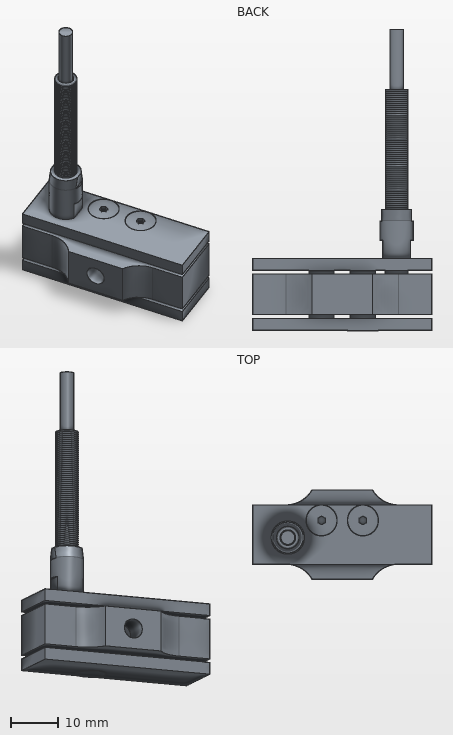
import cadquery as cq
import math


length = 37.95
block_width = 18.92
plate_width = 12.573
plate_thickness = 2.54
block_height = 8.636
gap = 0.762
block_bottom = plate_thickness + gap
block_top = block_bottom + block_height
upper_plate_bottom = block_top + gap
housing_top = upper_plate_bottom + plate_thickness

ear_half_length = 6.40
ear_arc_radius = 6.35
ear_depth = (block_width - plate_width) / 2
ear_arc_run = math.sqrt(ear_arc_radius**2 - (ear_arc_radius - ear_depth) ** 2)

front_hole_diameter = 4.09
front_hole_depth = 6.35

post_diameter = 5.38
post_neck_diameter = 5.33
post_neck_height = 0.127

screw_spacing = 8.76
screw_y = 3.0
screw_xs = (-screw_spacing / 2, screw_spacing / 2)
screw_head_diameter = 6.48
screw_shank_diameter = 2.84
screw_length = 9.525
screw_cone_half_angle = math.radians(41)
screw_recess = 0.06
screw_top = housing_top - screw_recess
countersink_diameter = screw_head_diameter + 2 * screw_recess * math.tan(screw_cone_half_angle)
socket_across_flats = 1.5875
socket_depth = 1.27

pad_diameter = 6.48
pad_height = 0.127

cable_x = -11.52
cable_y = -0.635
stem_diameter = 4.85
sleeve_diameter = 7.06
sleeve_top_diameter = 6.52
sleeve_cylinder_height = 8.0
sleeve_height = 10.373
lower_flat_distance = 2.96
lower_flat_height = 3.81
upper_flat_distance = 3.18
upper_flat_start = 7.85
coil_diameter = 4.8
coil_bore_diameter = 3.3
coil_exposed_length = 25.4
coil_turns = 59
coil_pitch = 0.4318
coil_length = coil_turns * coil_pitch
coil_top = housing_top + sleeve_height + coil_exposed_length
cable_diameter = 2.92
cable_free_length = 12.7


def cylinder(x, y, bottom, height, diameter):
    """Upright cylinder standing at the given height."""
    return cq.Workplane("XY", origin=(x, y, bottom)).circle(diameter / 2).extrude(height)


def plate(bottom):
    """Rectangular cover plate."""
    return cq.Workplane("XY", origin=(0, 0, bottom)).rect(length, plate_width).extrude(plate_thickness)


def block_side(side):
    """Half of the block with the ear on one long side of the block (side is +1 or -1)."""
    inner = side * plate_width / 2
    outer = side * block_width / 2
    foot = ear_half_length + ear_arc_run
    half_turn = math.acos((ear_arc_radius - ear_depth) / ear_arc_radius) / 2
    middle_x = foot - ear_arc_radius * math.sin(half_turn)
    middle_y = inner + side * ear_arc_radius * (1 - math.cos(half_turn))
    return (
        cq.Workplane("XY", origin=(0, 0, block_bottom))
        .moveTo(-foot, 0)
        .lineTo(-foot, inner)
        .threePointArc((-middle_x, middle_y), (-ear_half_length, outer))
        .lineTo(ear_half_length, outer)
        .threePointArc((middle_x, middle_y), (foot, inner))
        .lineTo(foot, 0)
        .close()
        .extrude(block_height)
    )


def make_block():
    """Beam block with its two ears and the blind front hole."""
    block = cq.Workplane("XY", origin=(0, 0, block_bottom)).rect(length, plate_width).extrude(block_height)
    for side in (-1, 1):
        block = block.union(block_side(side))
    front_hole = (
        cq.Workplane("XZ", origin=(0, -block_width / 2, block_bottom + block_height / 2))
        .circle(front_hole_diameter / 2)
        .extrude(-front_hole_depth)
    )
    return block.cut(front_hole)


def flat_head(x, top, head_diameter):
    """Flat-head screw shape without socket, reaching down to the screw tip."""
    shank_radius = screw_shank_diameter / 2
    cone_height = (head_diameter / 2 - shank_radius) / math.tan(screw_cone_half_angle)
    tip = screw_top - screw_length
    return (
        cq.Workplane("XZ", origin=(x, screw_y, 0))
        .moveTo(0, tip)
        .lineTo(shank_radius, tip)
        .lineTo(shank_radius, top - cone_height)
        .lineTo(head_diameter / 2, top)
        .lineTo(0, top)
        .close()
        .revolve(360, (0, 0, 0), (0, 1, 0))
    )


def make_housing():
    """Block and both plates, joined by the posts, with the screw and cable holes."""
    housing = make_block().union(plate(0)).union(plate(upper_plate_bottom))
    for x in screw_xs:
        housing = housing.union(cylinder(x, screw_y, plate_thickness, gap, post_diameter))
        housing = housing.union(cylinder(x, screw_y, block_top, gap - post_neck_height, post_diameter))
        housing = housing.union(cylinder(x, screw_y, block_top, gap, post_neck_diameter))
    housing = housing.union(cylinder(screw_xs[0], screw_y, -pad_height, pad_height, pad_diameter))
    for x in screw_xs:
        housing = housing.cut(flat_head(x, housing_top, countersink_diameter))
    return housing.cut(cylinder(cable_x, cable_y, upper_plate_bottom, plate_thickness, stem_diameter))


def make_screw(x):
    """Flat-head screw with a hexagon socket, corners toward +Y and -Y."""
    socket = (
        cq.Workplane("XY", origin=(x, screw_y, screw_top))
        .transformed(rotate=(0, 0, 90))
        .polygon(6, socket_across_flats / math.cos(math.pi / 6))
        .extrude(-socket_depth)
    )
    return flat_head(x, screw_top, screw_head_diameter).cut(socket)


def make_sleeve():
    """Sleeve with a tapered top and two pairs of flats facing -X and +X."""
    sleeve = (
        cq.Workplane("XZ", origin=(cable_x, cable_y, housing_top))
        .lineTo(sleeve_diameter / 2, 0)
        .lineTo(sleeve_diameter / 2, sleeve_cylinder_height)
        .lineTo(sleeve_top_diameter / 2, sleeve_height)
        .lineTo(0, sleeve_height)
        .close()
        .revolve(360, (0, 0, 0), (0, 1, 0))
    )
    flats = (
        (lower_flat_distance, 0, lower_flat_height),
        (upper_flat_distance, upper_flat_start, sleeve_height - upper_flat_start),
    )
    for distance, start, height in flats:
        for side in (-1, 1):
            center_x = cable_x + side * (distance + sleeve_diameter / 2)
            cutter = (
                cq.Workplane("XY", origin=(center_x, cable_y, housing_top + start))
                .rect(sleeve_diameter, 2 * sleeve_diameter)
                .extrude(height)
            )
            sleeve = sleeve.cut(cutter)
    return sleeve


def make_coil():
    """Bend relief coil: a tube whose outside is a row of half-round turns, its foot sunk in the sleeve."""
    bore_radius = coil_bore_diameter / 2
    root_radius = (coil_diameter - coil_pitch) / 2
    profile = cq.Workplane("XZ", origin=(cable_x, cable_y, coil_top - coil_length))
    profile = profile.moveTo(bore_radius, 0).lineTo(root_radius, 0)
    for turn in range(coil_turns):
        crest = (coil_diameter / 2, (turn + 0.5) * coil_pitch)
        profile = profile.threePointArc(crest, (root_radius, (turn + 1) * coil_pitch))
    return profile.lineTo(bore_radius, coil_length).close().revolve(360, (0, 0, 0), (0, 1, 0))


def make_cable_assembly():
    """Stem, sleeve, coil and cable on one axis; the stem stands on the block."""
    sleeve_top = housing_top + sleeve_height
    stem = cylinder(cable_x, cable_y, block_top, housing_top - block_top, stem_diameter)
    cable = cylinder(cable_x, cable_y, sleeve_top, coil_exposed_length + cable_free_length, cable_diameter)
    return stem.union(make_sleeve()).union(make_coil()).union(cable)


housing = make_housing()
screws = [make_screw(x) for x in screw_xs]
cable_assembly = make_cable_assembly()

result = cq.Compound.makeCompound(
    [housing.val(), *[screw.val() for screw in screws], cable_assembly.val()]
)